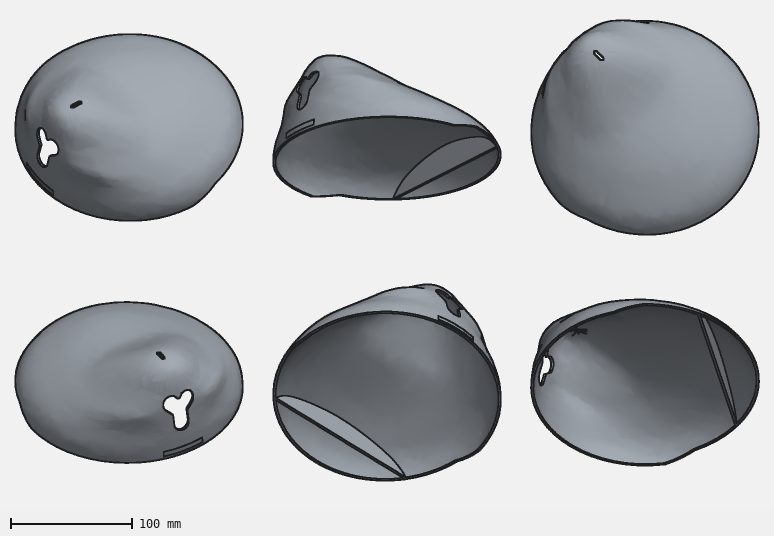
import cadquery as cq
import math

half_width = 94.72
half_length = 94.0
height = 77.32
wall = 2.0

contours = [
    (0.0, -half_length, half_length, half_width, 0.0, 2.0, 2.0),
    (5.0, -93.7, 94.6, 94.1, -1.0, 2.0, 2.0),
    (10.0, -93.2, 92.5, 92.4, -3.0, 2.0, 2.0),
    (20.0, -91.6, 84.7, 86.0, -8.0, 1.95, 2.0),
    (30.0, -89.6, 68.7, 74.2, -15.0, 2.05, 1.85),
    (37.0, -87.9, 52.3, 64.8, -22.0, 2.3, 1.8),
    (44.5, -86.2, 22.0, 53.7, -30.0, 2.6, 1.9),
    (50.0, -85.0, 0.3, 46.7, -35.0, 2.4, 2.4),
    (55.0, -83.6, -10.0, 40.8, -40.0, 2.2, 2.8),
    (60.0, -81.8, -18.5, 34.6, -46.0, 2.0, 2.9),
    (66.0, -79.1, -27.6, 27.6, -50.0, 2.1, 2.5),
    (70.0, -76.6, -33.9, 22.0, -53.0, 2.1, 2.3),
    (74.0, -73.3, -42.0, 15.2, -56.0, 2.0, 2.0),
    (76.5, -66.6, -48.9, 7.3, -57.6, 2.0, 2.0),
    (77.08, -61.9, -53.2, 4.0, -57.5, 2.0, 2.0),
    (height, -58.9, -56.1, 1.2, -57.5, 2.0, 2.0),
]
points_per_contour = 16

rim_rise = 7.0
ramp_start_y = -5.0
ramp_end_y = 21.0

lobe_radius = 7.0
lobe_x = 7.1
lobe_z = 49.5
lobe_tangent_angle = math.radians(60)
notch_z = 52.4
notch_half_width = 0.8
keyhole_half_width = 6.75
keyhole_bottom_z = 23.1

top_slot_length = 10.2
top_slot_width = 3.0
top_slot_y = -54.5
top_slot_depth = 20.0

label_width = 36.6
label_bottom_z = 2.7
label_top_z = 7.5
label_depth = 0.1

rib_y = 60.2

front_cut_depth = 60.0
beyond = 120.0


def signed_power(value, exponent):
    return math.copysign(abs(value) ** exponent, value)


def contour_wire(z, front_y, back_y, half, wide_y, front_exponent, back_exponent):
    points = []
    for i in range(points_per_contour):
        angle = 2 * math.pi * i / points_per_contour
        at_back = math.sin(angle) >= 0
        exponent = back_exponent if at_back else front_exponent
        reach = back_y - wide_y if at_back else wide_y - front_y
        x = half * signed_power(math.cos(angle), 2 / exponent)
        y = wide_y + reach * signed_power(math.sin(angle), 2 / exponent)
        points.append(cq.Vector(x, y, z))
    knots = [i / points_per_contour for i in range(points_per_contour + 1)]
    return cq.Wire.assembleEdges([cq.Edge.makeSpline(points, periodic=True, parameters=knots)])


def dome_through(rows):
    wires = [contour_wire(*row) for row in rows]
    return cq.Workplane(obj=cq.Solid.makeLoft(wires))


def inset_for_wall(column, below, above):
    """Horizontal inset that leaves the full wall thickness, square to a sloping wall."""
    slope = (above[column] - below[column]) / (above[0] - below[0])
    return wall * math.hypot(1, slope)


def inner_contours():
    """Outer contours moved inward at their own level, closed by the summit moved down."""
    rows = []
    for i, row in enumerate(contours):
        z, front_y, back_y, half, wide_y, front_exponent, back_exponent = row
        if z >= height - wall:
            rows.append((z - wall, *row[1:]))
            continue
        below = contours[max(i - 1, 0)]
        above = contours[i + 1]
        front_y += inset_for_wall(1, below, above)
        back_y -= inset_for_wall(2, below, above)
        half -= inset_for_wall(3, below, above)
        rows.append((z, front_y, back_y, half, wide_y, front_exponent, back_exponent))
    return rows


def make_space_above_rim():
    """Prism along X over the stepped lower edge of the rim, from points in (y, z)."""
    outline = [
        (-beyond, 0),
        (ramp_start_y, 0),
        (ramp_end_y, rim_rise),
        (beyond, rim_rise),
        (beyond, beyond),
        (-beyond, beyond),
    ]
    return cq.Workplane("YZ").polyline(outline).close().extrude(beyond, both=True)


def make_rib(cavity):
    slab = cq.Workplane("XY", origin=(0, rib_y, 0)).box(
        2 * beyond, wall, beyond, centered=(True, False, False)
    )
    return slab.intersect(cavity)


def make_keyhole():
    tangent_x = lobe_radius * math.cos(lobe_tangent_angle)
    tangent_z = lobe_z + lobe_radius * math.sin(lobe_tangent_angle)
    flank = lobe_radius * math.sqrt(0.5)
    flank_x = lobe_x + flank
    flank_z = lobe_z - flank
    neck_z = flank_z - (flank_x - keyhole_half_width)
    round_z = keyhole_bottom_z + keyhole_half_width
    return (
        cq.Workplane("XZ", origin=(0, -half_length - wall, 0))
        .moveTo(-notch_half_width, notch_z)
        .lineTo(notch_half_width, notch_z)
        .lineTo(lobe_x - tangent_x, tangent_z)
        .threePointArc((lobe_x + lobe_radius, lobe_z), (flank_x, flank_z))
        .lineTo(keyhole_half_width, neck_z)
        .lineTo(keyhole_half_width, round_z)
        .threePointArc((0, keyhole_bottom_z), (-keyhole_half_width, round_z))
        .lineTo(-keyhole_half_width, neck_z)
        .lineTo(-flank_x, flank_z)
        .threePointArc((-lobe_x - lobe_radius, lobe_z), (tangent_x - lobe_x, tangent_z))
        .close()
        .extrude(-front_cut_depth)
    )


def make_top_slot():
    return (
        cq.Workplane("XY", origin=(0, top_slot_y, height + wall))
        .slot2D(top_slot_length, top_slot_width, 90)
        .extrude(-top_slot_depth)
    )


def make_label_recess(dome):
    block = (
        cq.Workplane("XY", origin=(0, -half_length - wall, label_bottom_z))
        .box(label_width, front_cut_depth, label_top_z - label_bottom_z, centered=(True, False, False))
    )
    return block.cut(dome.translate((0, label_depth, 0)))


dome = dome_through(contours)
cavity = dome_through(inner_contours())

result = (
    dome.cut(cavity)
    .union(make_rib(cavity))
    .intersect(make_space_above_rim())
    .cut(make_keyhole())
    .cut(make_top_slot())
    .cut(make_label_recess(dome))
)